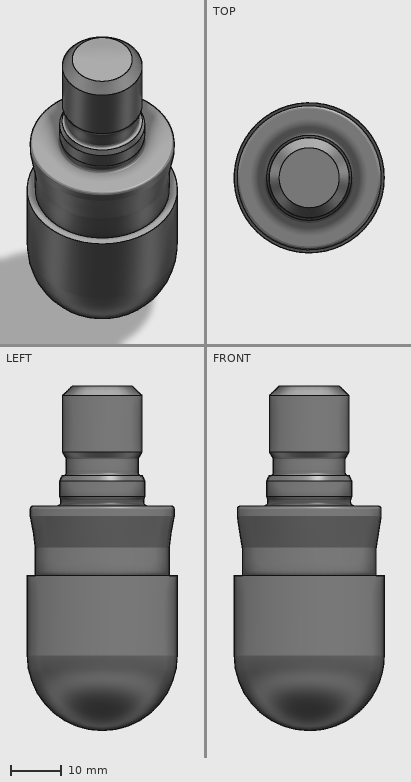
import cadquery as cq
import math

CAP_DIAMETER = 30.0
SPIGOT_DIAMETER = 26.8
FLANGE_DIAMETER = 28.8
RELIEF_DIAMETER = 16.6
COLLAR_DIAMETER = 17.0
NECK_DIAMETER = 14.4
HEAD_DIAMETER = 16.0

CAP_TOP = 31.0
SPIGOT_TOP = 36.5
FLANGE_RIM_BOTTOM = 42.85
FLANGE_TOP = 44.9
RELIEF_TOP = 46.15
COLLAR_BOTTOM = 46.8
COLLAR_TOP = 51.0
NECK_TOP = 54.4
HEAD_BOTTOM = 55.7
HEAD_TOP = 68.9

FLANGE_ROUND = 0.6
RELIEF_FILLET = 0.75
COLLAR_CHAMFER_WIDTH = 0.5
COLLAR_CHAMFER_HEIGHT = 1.1
NECK_FILLET = 0.55
UNDERCUT_BLEND = 0.15
HEAD_CHAMFER_WIDTH = 2.0
HEAD_CHAMFER_HEIGHT = 1.9


def make_cap():
    """Cylindrical cap closed by a hemispherical dome at the bottom."""
    radius = CAP_DIAMETER / 2
    diagonal = radius * math.sqrt(0.5)
    profile = (
        cq.Workplane("XZ")
        .moveTo(0, 0)
        .threePointArc((diagonal, radius - diagonal), (radius, radius))
        .lineTo(radius, CAP_TOP)
        .lineTo(0, CAP_TOP)
        .close()
    )
    return profile.revolve(360, (0, 0), (0, 1))


def point_along(start, end, distance):
    """Point on the line from start to end, at a distance from start."""
    fraction = distance / math.dist(start, end)
    return (
        start[0] + fraction * (end[0] - start[0]),
        start[1] + fraction * (end[1] - start[1]),
    )


def make_stud():
    """Turned stud standing on the flat top of the cap."""
    spigot = SPIGOT_DIAMETER / 2
    flange = FLANGE_DIAMETER / 2
    relief = RELIEF_DIAMETER / 2
    collar = COLLAR_DIAMETER / 2
    neck = NECK_DIAMETER / 2
    head = HEAD_DIAMETER / 2
    collar_edge = (collar, COLLAR_BOTTOM)
    head_edge = (head, HEAD_BOTTOM)
    relief_blend_end = point_along((relief, RELIEF_TOP), collar_edge, UNDERCUT_BLEND)
    neck_blend_end = point_along((neck, NECK_TOP), head_edge, UNDERCUT_BLEND)
    profile = (
        cq.Workplane("XZ")
        .moveTo(0, CAP_TOP)
        .lineTo(spigot, CAP_TOP)
        .lineTo(spigot, SPIGOT_TOP)
        .lineTo(flange, FLANGE_RIM_BOTTOM)
        .lineTo(flange, FLANGE_TOP - FLANGE_ROUND)
        .tangentArcPoint((flange - FLANGE_ROUND, FLANGE_TOP), relative=False)
        .lineTo(relief + RELIEF_FILLET, FLANGE_TOP)
        .tangentArcPoint((relief, FLANGE_TOP + RELIEF_FILLET), relative=False)
        .lineTo(relief, RELIEF_TOP - UNDERCUT_BLEND)
        .tangentArcPoint(relief_blend_end, relative=False)
        .lineTo(*collar_edge)
        .lineTo(collar, COLLAR_TOP - COLLAR_CHAMFER_HEIGHT)
        .lineTo(collar - COLLAR_CHAMFER_WIDTH, COLLAR_TOP)
        .lineTo(neck + NECK_FILLET, COLLAR_TOP)
        .tangentArcPoint((neck, COLLAR_TOP + NECK_FILLET), relative=False)
        .lineTo(neck, NECK_TOP - UNDERCUT_BLEND)
        .tangentArcPoint(neck_blend_end, relative=False)
        .lineTo(*head_edge)
        .lineTo(head, HEAD_TOP - HEAD_CHAMFER_HEIGHT)
        .lineTo(head - HEAD_CHAMFER_WIDTH, HEAD_TOP)
        .lineTo(0, HEAD_TOP)
        .close()
    )
    return profile.revolve(360, (0, 0), (0, 1))


cap = make_cap()
stud = make_stud()

result = cq.Compound.makeCompound([cap.val(), stud.val()])